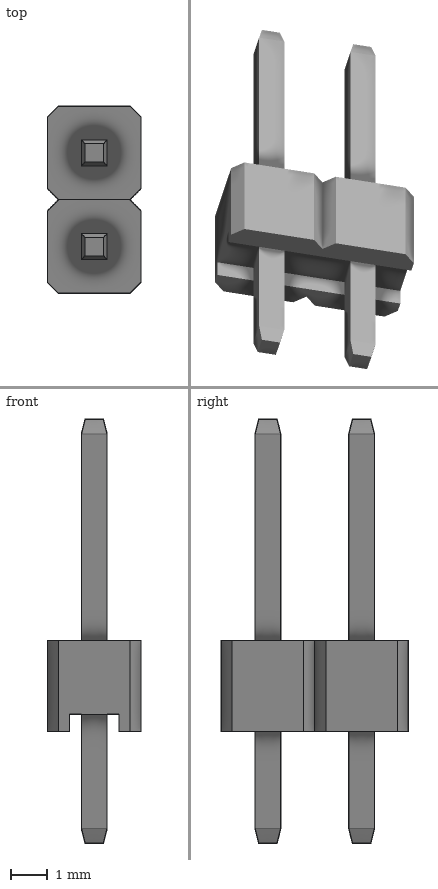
import cadquery as cq

pitch = 2.54
cell_count = 2

block_height = 2.47
corner_chamfer = 0.3
foot_width = 0.6
channel_width = pitch - 2 * foot_width
channel_depth = 0.47

pin_width = 0.7
pin_above_block = 6.0
pin_below_block = 3.03
tip_length = 0.4
tip_inset = 0.1
tip_width = pin_width - 2 * tip_inset

pin_bottom = -pin_below_block
pin_top = block_height + pin_above_block
shank_bottom = pin_bottom + tip_length
shank_top = pin_top - tip_length


def make_block():
    """Chamfered square block with a standoff channel along Y in its underside."""
    block = (
        cq.Workplane("XY")
        .rect(pitch, pitch)
        .extrude(block_height)
        .edges("|Z")
        .chamfer(corner_chamfer)
    )
    channel = cq.Workplane("XY").rect(channel_width, pitch).extrude(channel_depth)
    return block.cut(channel)


def make_tapered_section(bottom, top, bottom_width, top_width):
    """Square frustum between two heights."""
    return (
        cq.Workplane("XY")
        .workplane(offset=bottom)
        .rect(bottom_width, bottom_width)
        .workplane(offset=top - bottom)
        .rect(top_width, top_width)
        .loft(ruled=True)
    )


def make_pin():
    """Straight square shank with a tapered tip at each end."""
    shank = (
        cq.Workplane("XY")
        .workplane(offset=shank_bottom)
        .rect(pin_width, pin_width)
        .extrude(shank_top - shank_bottom)
    )
    lower_tip = make_tapered_section(pin_bottom, shank_bottom, tip_width, pin_width)
    upper_tip = make_tapered_section(shank_top, pin_top, pin_width, tip_width)
    return shank.union(lower_tip).union(upper_tip)


def make_header_cell(y_center):
    """One cell: block and pin as a single solid, centred at the given Y."""
    return make_block().union(make_pin()).translate((0, y_center, 0))


header_cells = []
for index in range(cell_count):
    y_center = (index - (cell_count - 1) / 2) * pitch
    header_cells.append(make_header_cell(y_center))

result = cq.Compound.makeCompound([cell.solids().val() for cell in header_cells])